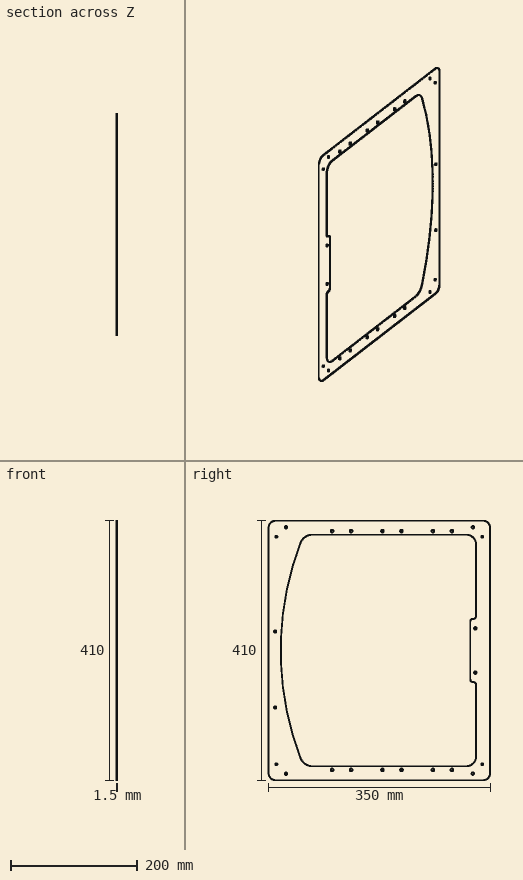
import cadquery as cq
import math

thickness = 1.5
width = 350.0
height = 410.0
outer_corner_radius = 11.5

rim = 22.5
bow_rim = 19.5
bow_radius = 478.0
window_corner_radius = 15.0
bow_corner_radius = 20.0

tab_edge_inset = 31.5
tab_length = 100.0
tab_corner_radius = 4.0

rail_hole_diameter = 4.0
rail_hole_z = 188.5
rail_pair_spacing = 30.0
rail_pair_centers_y = (99.5, 20.0, -59.5)

corner_hole_diameter = 3.5
corner_hole_y = 147.5
corner_hole_z = 194.5
pilot_hole_diameter = 3.0
pilot_hole_y = 162.5
pilot_hole_z = 179.5

tab_hole_diameter = 3.5
tab_hole_y = 151.5
tab_hole_z = 35.0
bow_hole_diameter = 3.5
bow_hole_y = -164.5
bow_hole_heights = (30.0, -90.0)


def make_plate():
    """Rectangular sheet with rounded outer corners."""
    plate = cq.Workplane("YZ").rect(width, height).extrude(thickness / 2, both=True)
    return plate.edges("|X").fillet(outer_corner_radius)


def make_window():
    """Solid that cuts the window, with a bowed side and rounded corners."""
    side_y = width / 2 - rim
    top_z = height / 2 - rim
    bow_y = -width / 2 + bow_rim
    bow_center_y = bow_y + bow_radius
    bow_end_y = bow_center_y - math.sqrt(bow_radius**2 - top_z**2)
    window = (
        cq.Workplane("YZ")
        .moveTo(side_y, top_z)
        .lineTo(bow_end_y, top_z)
        .threePointArc((bow_y, 0), (bow_end_y, -top_z))
        .lineTo(side_y, -top_z)
        .close()
        .extrude(thickness, both=True)
    )
    window = window.edges("|X").edges(">Y").fillet(window_corner_radius)
    return window.edges("|X").edges("<Y").fillet(bow_corner_radius)


def notch_for_tab(window):
    """Take the tab's outline out of the window and round its four corners."""
    side_y = width / 2 - rim
    tab_edge_y = width / 2 - tab_edge_inset
    tab_depth = side_y - tab_edge_y
    tab = (
        cq.Workplane("YZ")
        .center((side_y + tab_edge_y) / 2, 0)
        .rect(tab_depth, tab_length)
        .extrude(thickness, both=True)
    )
    near_tab = cq.selectors.BoxSelector((-thickness, 0, -tab_length), (thickness, width, tab_length))
    return window.cut(tab).edges("|X").edges(near_tab).fillet(tab_corner_radius)


def drill(plate, points, diameter):
    """Drill through holes at (Y, Z) points."""
    drills = (
        cq.Workplane("YZ")
        .pushPoints(points)
        .circle(diameter / 2)
        .extrude(thickness, both=True)
    )
    return plate.cut(drills)


def four_corners(y, z):
    """Points mirrored about both centre lines."""
    return [(side * y, end * z) for side in (-1, 1) for end in (-1, 1)]


rail_holes = [
    (center_y + side * rail_pair_spacing / 2, end * rail_hole_z)
    for center_y in rail_pair_centers_y
    for side in (-1, 1)
    for end in (-1, 1)
]
tab_holes = [(tab_hole_y, tab_hole_z), (tab_hole_y, -tab_hole_z)]
bow_holes = [(bow_hole_y, z) for z in bow_hole_heights]

result = make_plate().cut(notch_for_tab(make_window()))
result = drill(result, rail_holes, rail_hole_diameter)
result = drill(result, four_corners(corner_hole_y, corner_hole_z), corner_hole_diameter)
result = drill(result, four_corners(pilot_hole_y, pilot_hole_z), pilot_hole_diameter)
result = drill(result, tab_holes, tab_hole_diameter)
result = drill(result, bow_holes, bow_hole_diameter)